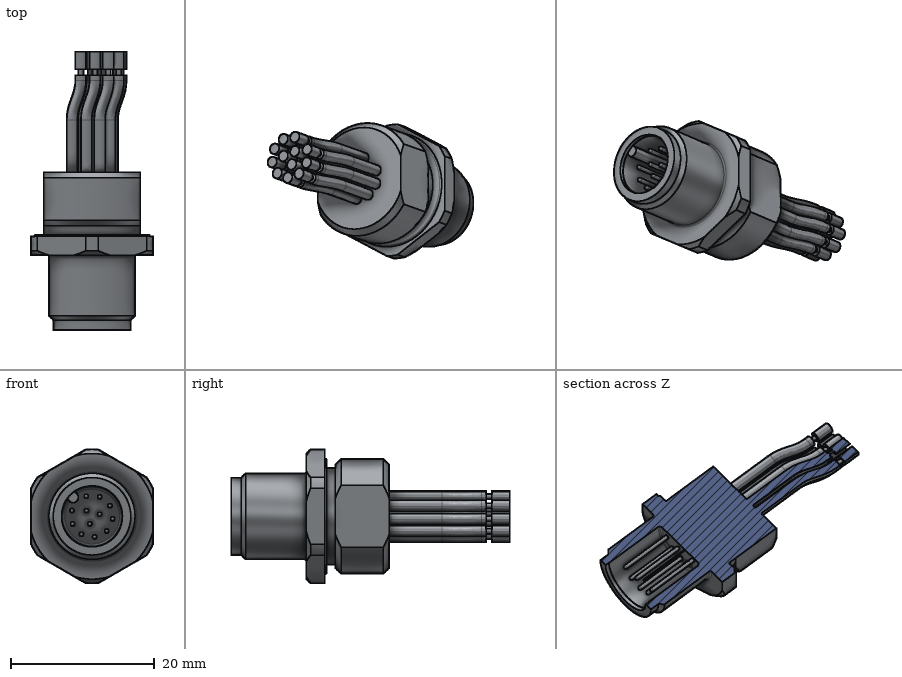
import cadquery as cq
import math


nose_diameter = 10.8
sleeve_diameter = 12.0
nose_length = 1.4
flange_front = 10.45
sleeve_root_fillet = 0.22

flange_back = 13.05
hex_sides = 6
hex_across_flats = 17.0
hex_corner_diameter = 18.69
hex_chamfer = 0.6

collar_back = 13.29
collar_diameter = 16.1
collar_fillet = 0.23

neck_diameter = 13.5
housing_front = 14.5
housing_back = 22.0
housing_diameter = 16.0
housing_width = 13.5
housing_chamfer = 0.8

mouth_diameter = 8.5
mouth_depth = 0.6
chamber_diameter = 8.4
chamber_depth = 10.0
floor_fillet = 0.4

key_diameter = 1.5
key_angle = 135.0
key_radius = 3.75

outer_pin_count = 9
outer_pin_radius = 2.9
outer_pin_gap = 58.0
inner_pin_count = 3
inner_pin_radius = 1.1
pin_diameter = 0.6
pin_front = 2.1
pin_tip_fillet = 0.29

wire_diameter = 1.5
conductor_diameter = 0.7
bend_start = 29.3
bend_end = 34.8
bend_shift = 1.2
strip_start = 35.5
strip_end = 36.3
wire_end = 38.8


def revolved(profile):
    """Solid of revolution about the connector axis from (radius, y) points."""
    return cq.Workplane("XY").polyline(profile).close().revolve(360, (0, 0, 0), (0, 1, 0))


def rod(diameter, start, end, x=0.0, z=0.0):
    """Cylinder parallel to Y from start to end."""
    circle = cq.Workplane("XZ", origin=(x, start, z)).circle(diameter / 2)
    return circle.extrude(start - end)


def on_ring(radius, angle):
    """X and Z of a place on a circle around the connector axis."""
    return radius * math.cos(math.radians(angle)), radius * math.sin(math.radians(angle))


def contact_places():
    """X and Z of every contact, the outer ring first."""
    step = (360 - outer_pin_gap) / (outer_pin_count - 1)
    first = key_angle + outer_pin_gap / 2
    outer = [on_ring(outer_pin_radius, first + i * step) for i in range(outer_pin_count)]
    inner_step = 360 / inner_pin_count
    inner = [on_ring(inner_pin_radius, key_angle + i * inner_step) for i in range(inner_pin_count)]
    return outer + inner


def make_sleeve():
    """Sleeve and nose, widening in a fillet where it meets the flange."""
    nose_r = nose_diameter / 2
    sleeve_r = sleeve_diameter / 2
    root = sleeve_root_fillet
    arc_middle = root * (1 - math.sqrt(0.5))
    profile = (
        cq.Workplane("XY")
        .lineTo(nose_r, 0)
        .lineTo(nose_r, nose_length)
        .lineTo(sleeve_r, nose_length + sleeve_r - nose_r)
        .lineTo(sleeve_r, flange_front - root)
        .threePointArc(
            (sleeve_r + arc_middle, flange_front - arc_middle),
            (sleeve_r + root, flange_front),
        )
        .lineTo(sleeve_r + root, flange_back)
        .lineTo(0, flange_back)
        .close()
    )
    return profile.revolve(360, (0, 0, 0), (0, 1, 0))


def make_flange():
    hexagon = (
        cq.Workplane("XZ", origin=(0, flange_front, 0))
        .polygon(hex_sides, hex_across_flats, circumscribed=True)
        .extrude(flange_front - flange_back)
    )
    corner_r = hex_corner_diameter / 2
    rounding = revolved([
        (0, flange_front),
        (corner_r - hex_chamfer, flange_front),
        (corner_r, flange_front + hex_chamfer),
        (corner_r, flange_back),
        (0, flange_back),
    ])
    collar = rod(collar_diameter, flange_back, collar_back)
    collar = collar.faces(">Y").edges().fillet(collar_fillet)
    return hexagon.intersect(rounding).union(collar)


def make_housing():
    outer_r = housing_diameter / 2
    end_r = outer_r - housing_chamfer
    drum = revolved([
        (0, housing_front),
        (end_r, housing_front),
        (outer_r, housing_front + housing_chamfer),
        (outer_r, housing_back - housing_chamfer),
        (end_r, housing_back),
        (0, housing_back),
    ])
    length = housing_back - housing_front
    slab = cq.Workplane("XY").box(housing_width, length, housing_diameter)
    slab = slab.translate((0, housing_front + length / 2, 0))
    neck = rod(neck_diameter, flange_back, housing_front)
    return drum.intersect(slab).union(neck)


def make_chamber():
    bore = rod(chamber_diameter, 0, chamber_depth)
    bore = bore.faces(">Y").edges().fillet(floor_fillet)
    return bore.union(rod(mouth_diameter, 0, mouth_depth))


def make_key():
    """Coding rib that starts flush with the mouth step and runs to the chamber floor."""
    x, z = on_ring(key_radius, key_angle)
    key = rod(key_diameter, mouth_depth, chamber_depth, x, z)
    return key.intersect(rod(chamber_diameter, mouth_depth, chamber_depth))


def make_pin(x, z):
    pin = rod(pin_diameter, pin_front, chamber_depth, x, z)
    return pin.faces("<Y").edges().fillet(pin_tip_fillet)


def make_wire(x, z):
    """Wire that bends sideways toward +X and ends in a short piece past a bared conductor."""
    straight = rod(wire_diameter, housing_back, bend_start, x, z)
    path = cq.Workplane("XY", origin=(0, 0, z)).moveTo(x, bend_start).spline(
        [(x + bend_shift, bend_end)], tangents=[(0, 1), (0, 1)], includeCurrent=True
    )
    bend = cq.Workplane("XZ", origin=(x, bend_start, z)).circle(wire_diameter / 2).sweep(path)
    end_x = x + bend_shift
    jacket = rod(wire_diameter, bend_end, strip_start, end_x, z)
    conductor = rod(conductor_diameter, strip_start, strip_end, end_x, z)
    tip = rod(wire_diameter, strip_end, wire_end, end_x, z)
    return straight.union(bend).union(jacket).union(conductor).union(tip)


result = make_sleeve().union(make_flange()).union(make_housing())
result = result.cut(make_chamber()).union(make_key())
for pin_x, pin_z in contact_places():
    result = result.union(make_pin(pin_x, pin_z)).union(make_wire(pin_x, pin_z))